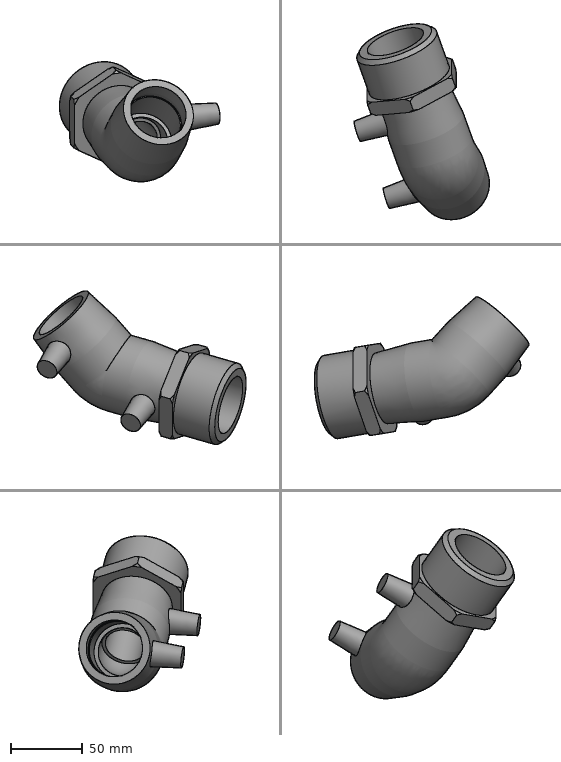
import cadquery as cq
import math


overall_length = 149.0
bend_angle = 45.0
bend_radius = 18.0
body_diameter = 56.0
neck_diameter = 50.7
straight_length = 18.5
taper_length = 26.8
leg_length = straight_length + taper_length

bend_sine = math.sin(math.radians(bend_angle))
bend_cosine = math.cos(math.radians(bend_angle))
outlet_reach = (bend_radius + neck_diameter / 2) * bend_sine + leg_length * bend_cosine

bend_start = overall_length - outlet_reach
hex_end = bend_start - leg_length
hex_width = 10.5
hex_across_flats = 63.0
hex_corner_diameter = hex_across_flats / math.cos(math.pi / 6)
hex_chamfer = 1.8

thread_diameter = 59.6
thread_length = hex_end - hex_width
thread_chamfer = 3.0

inlet_bore_diameter = 41.7
inlet_bore_depth = hex_end
throat_diameter = 29.0
bend_bore_diameter = 34.0
bend_lip = 1.3
socket_diameter = 40.0
groove_diameter = 41.7
groove_inner = 28.0
groove_outer = 33.8

terminal_tip_y = 47.0
terminal_tip_diameter = 15.2
terminal_base_diameter = 18.9
terminal_base_y = 22.4
terminal_distance = 30.4


def revolved_along_x(profile):
    """Revolve (x, radius) points into a solid about the X axis."""
    return (
        cq.Workplane("XY")
        .polyline(profile)
        .close()
        .revolve(360, (0, 0, 0), (1, 0, 0))
    )


def place_on_outlet(solid):
    """Move a solid built from x = 0 along +X onto the end of the bend, along the outlet axis."""
    end_x = bend_start + bend_radius * bend_sine
    end_z = bend_radius * (1 - bend_cosine)
    return solid.rotate((0, 0, 0), (0, 1, 0), -bend_angle).translate((end_x, 0, end_z))


def make_leg():
    """Straight length followed by a taper, built from the bend outwards along +X."""
    body_radius = body_diameter / 2
    return revolved_along_x([
        (0, 0),
        (0, body_radius),
        (straight_length, body_radius),
        (leg_length, neck_diameter / 2),
        (leg_length, 0),
    ])


def make_bend(diameter):
    """Revolve a disc about the pivot line, leaving out any part of the disc beyond that line."""
    radius = diameter / 2
    section = cq.Sketch().circle(radius)
    if radius > bend_radius:
        beyond_pivot = cq.Sketch().rect(diameter, diameter).moved(
            cq.Location(cq.Vector(0, bend_radius + radius))
        )
        section = section.face(beyond_pivot, mode="s")
    return (
        cq.Workplane("YZ", origin=(bend_start, 0, 0))
        .placeSketch(section)
        .revolve(bend_angle, (1.5, bend_radius), (-1.5, bend_radius))
    )


def make_hexagon():
    """Hexagon with corners up and down, its corners trimmed by a cone at each end."""
    blank = (
        cq.Workplane("YZ", origin=(thread_length, 0, 0))
        .polygon(6, hex_corner_diameter)
        .extrude(hex_width)
        .rotate((0, 0, 0), (1, 0, 0), 90)
    )
    trim = (
        cq.Workplane("YZ", origin=(thread_length, 0, 0))
        .circle(hex_corner_diameter / 2)
        .extrude(hex_width)
        .edges()
        .chamfer(hex_chamfer)
    )
    return blank.intersect(trim)


def make_thread():
    return (
        cq.Workplane("YZ")
        .circle(thread_diameter / 2)
        .extrude(thread_length)
        .faces("<X")
        .chamfer(thread_chamfer)
    )


def make_terminal():
    """Tapered terminal from inside the pipe wall to its tip, along +Y."""
    return (
        cq.Workplane("XY")
        .polyline([
            (0, terminal_base_y),
            (terminal_base_diameter / 2, terminal_base_y),
            (terminal_tip_diameter / 2, terminal_tip_y),
            (0, terminal_tip_y),
        ])
        .close()
        .revolve(360, (0, 0, 0), (0, 1, 0))
    )


def make_passage():
    """Inlet bore, throat, curved bore and outlet socket with its tapered groove."""
    inlet = cq.Workplane("YZ").circle(inlet_bore_diameter / 2).extrude(inlet_bore_depth)
    throat = cq.Workplane("YZ").circle(throat_diameter / 2).extrude(bend_start)
    socket_radius = socket_diameter / 2
    outlet = revolved_along_x([
        (0, 0),
        (0, bend_bore_diameter / 2),
        (bend_lip, bend_bore_diameter / 2),
        (bend_lip, socket_radius),
        (groove_inner, socket_radius),
        (groove_inner, groove_diameter / 2),
        (groove_outer, socket_radius),
        (leg_length, socket_radius),
        (leg_length, 0),
    ])
    return inlet.union(throat).union(make_bend(bend_bore_diameter)).union(place_on_outlet(outlet))


inlet_leg = make_leg().mirror("YZ").translate((bend_start, 0, 0))
outlet_leg = place_on_outlet(make_leg())
inlet_terminal = make_terminal().translate((bend_start - terminal_distance, 0, 0))
outlet_terminal = place_on_outlet(make_terminal().translate((terminal_distance, 0, 0)))

body = make_thread().union(make_hexagon())
for piece in (inlet_leg, make_bend(body_diameter), outlet_leg, inlet_terminal, outlet_terminal):
    body = body.union(piece)

result = body.cut(make_passage())